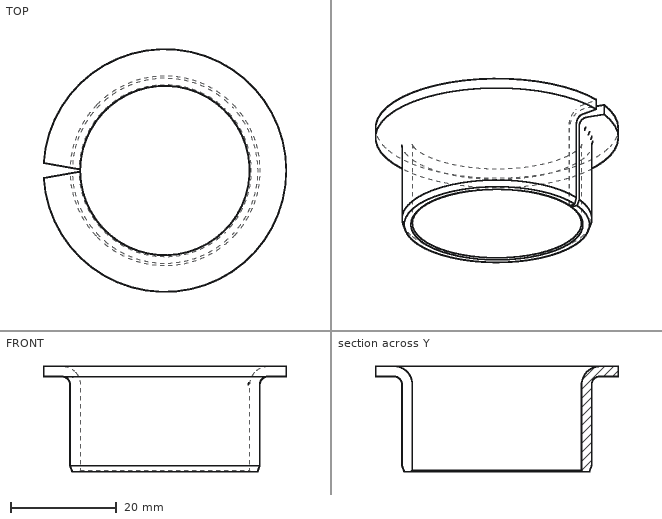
import cadquery as cq
import math

flange_radius = 23.0
height = 20.0
bore_radius = 16.0
sleeve_radius = 18.0
wall = sleeve_radius - bore_radius
outer_bend_radius = 1.5
inner_bend_radius = outer_bend_radius + wall
chamfer_height = 1.2
chamfer_angle = 20.0
bore_chamfer = 0.3

split_apex_radius = 15.0
split_half_angle = 10.0

flange_underside = height - wall
chamfer_width = chamfer_height * math.tan(math.radians(chamfer_angle))


def bushing_body():
    """Revolve the sleeve wall, concentric bend and flange around Z."""
    bend_center_x = sleeve_radius + outer_bend_radius
    bend_center_z = flange_underside - outer_bend_radius
    diagonal = math.sqrt(0.5)

    def bend_middle(radius):
        return (bend_center_x - radius * diagonal, bend_center_z + radius * diagonal)

    return (
        cq.Workplane("XZ")
        .moveTo(bore_radius, bore_chamfer)
        .lineTo(bore_radius + bore_chamfer, 0)
        .lineTo(sleeve_radius - chamfer_width, 0)
        .lineTo(sleeve_radius, chamfer_height)
        .lineTo(sleeve_radius, bend_center_z)
        .threePointArc(bend_middle(outer_bend_radius), (bend_center_x, flange_underside))
        .lineTo(flange_radius, flange_underside)
        .lineTo(flange_radius, height)
        .lineTo(bend_center_x, height)
        .threePointArc(bend_middle(inner_bend_radius), (bore_radius, bend_center_z))
        .close()
        .revolve(360, (0, 0), (0, 1))
        .rotate((0, 0, 0), (0, 0, 1), 180)
    )


def split_wedge():
    """Full-height wedge that opens the ring on its -X side."""
    reach = 1.2 * flange_radius
    half_width = (reach - split_apex_radius) * math.tan(math.radians(split_half_angle))
    return (
        cq.Workplane("XY")
        .polyline([(-split_apex_radius, 0), (-reach, half_width), (-reach, -half_width)])
        .close()
        .extrude(height)
    )


result = bushing_body().cut(split_wedge())